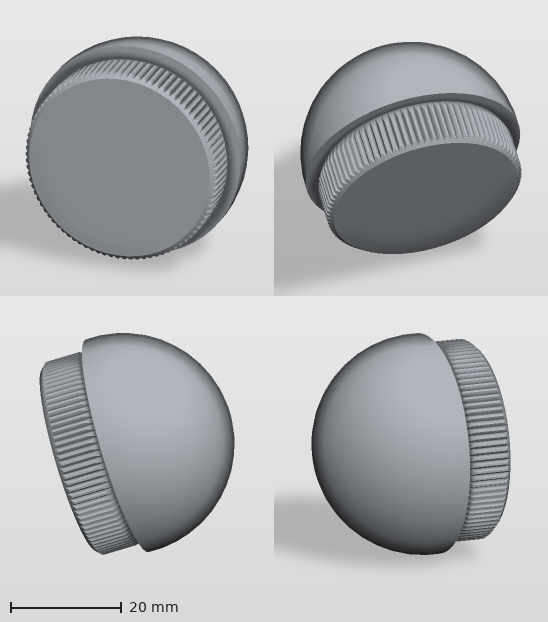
import cadquery as cq
import math

dome_radius = 20.05
dome_height = 21.2
plug_length = 9.0
plug_radius = 18.15
end_chamfer = 1.0
taper_length = 1.95
groove_count = 90
groove_depth = 0.65
groove_width = 0.9

shoulder_y = dome_radius - dome_height
end_y = shoulder_y - plug_length
shoulder_radius = math.sqrt(dome_radius**2 - shoulder_y**2)
root_radius = plug_radius - groove_depth
pitch_angle = 2 * math.pi / groove_count


def make_dome():
    """Ball cut flat just past its centre."""
    mid_angle = math.pi / 4
    mid_point = (dome_radius * math.cos(mid_angle), dome_radius * math.sin(mid_angle))
    profile = (
        cq.Workplane("XY")
        .moveTo(0, shoulder_y)
        .lineTo(shoulder_radius, shoulder_y)
        .threePointArc(mid_point, (0, dome_radius))
        .close()
    )
    return profile.revolve(360, (0, 0, 0), (0, 1, 0))


def polar_point(radius, angle):
    return (radius * math.cos(angle), radius * math.sin(angle))


def make_toothed_bar():
    """Straight bar with sharp teeth all round, one tooth centred on +X."""
    half_pitch = pitch_angle / 2
    half_land = half_pitch - math.asin(groove_width / 2 / plug_radius)
    root_x, root_y = polar_point(root_radius, half_pitch)
    land_x, land_y = polar_point(plug_radius, half_land)
    tip_radius = land_x + land_y * (land_x - root_x) / (root_y - land_y)

    points = []
    for tooth in range(groove_count):
        angle = tooth * pitch_angle
        points.append(polar_point(tip_radius, angle))
        points.append(polar_point(root_radius, angle + half_pitch))
    return (
        cq.Workplane("XZ", origin=(0, shoulder_y, 0))
        .polyline(points)
        .close()
        .extrude(plug_length)
    )


def make_plug_envelope():
    """Turned shape of the plug: tapered to the groove roots at the shoulder, chamfered at the end."""
    profile = [
        (0, shoulder_y),
        (root_radius, shoulder_y),
        (plug_radius, shoulder_y - taper_length),
        (plug_radius, end_y + end_chamfer),
        (plug_radius - end_chamfer, end_y),
        (0, end_y),
    ]
    return cq.Workplane("XY").polyline(profile).close().revolve(360, (0, 0, 0), (0, 1, 0))


plug = make_toothed_bar().intersect(make_plug_envelope())
result = make_dome().union(plug)